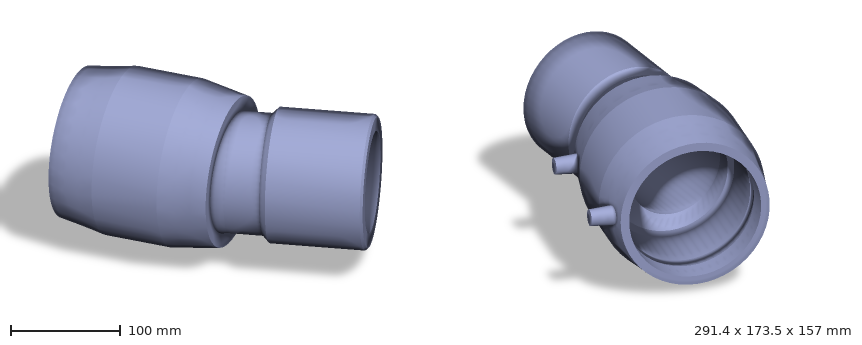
import cadquery as cq
import math

overall_length = 291.4

socket_length = 153.0
barrel_start = 45.0
barrel_radius = 157.0 / 2
socket_end_radius = 70.65
bore_radius = 125.0 / 2
bore_depth = 89.0

groove_start = 23.3
groove_end = 36.0
groove_radius = bore_radius + 3.2

bend_angle = 12.0
neck_radius = 112.5 / 2
spigot_radius = 125.0 / 2
shoulder_start = 32.5
shoulder_end = shoulder_start + spigot_radius - neck_radius
spigot_chamfer = 2.3
bend_sine = math.sin(math.radians(bend_angle))
bend_cosine = math.cos(math.radians(bend_angle))
spigot_end_radius = spigot_radius - spigot_chamfer
spigot_length = (overall_length - socket_length - spigot_end_radius * bend_sine) / bend_cosine
flare_length = 29.0
flare_half_angle = 6.0

passage_radius = 94.0 / 2
passage_start = -49.5
funnel_radius = neck_radius
cut_overrun = 3.0

pin_inset = 18.0
pin_base_y = 71.5
pin_top_y = 173.5 - barrel_radius
pin_base_radius = 9.3
pin_top_radius = 7.72


def revolve_about_x(points):
    """Revolve a closed (axial position, radius) outline about the X axis."""
    return cq.Workplane("XY").polyline(points).close().revolve(360, (0, 0, 0), (1, 0, 0))


def tilt(body):
    """Move a body made along X from the origin onto the spigot axis."""
    return body.rotate((0, 0, 0), (0, 0, 1), bend_angle).translate((socket_length, 0, 0))


def make_socket():
    return revolve_about_x([
        (0, 0),
        (0, socket_end_radius),
        (barrel_start, barrel_radius),
        (socket_length - barrel_start, barrel_radius),
        (socket_length, socket_end_radius),
        (socket_length, 0),
    ])


def make_spigot():
    flare_radius = neck_radius + flare_length * math.tan(math.radians(flare_half_angle))
    return tilt(revolve_about_x([
        (-flare_length, 0),
        (-flare_length, flare_radius),
        (0, neck_radius),
        (shoulder_start, neck_radius),
        (shoulder_end, spigot_radius),
        (spigot_length - spigot_chamfer, spigot_radius),
        (spigot_length, spigot_end_radius),
        (spigot_length, 0),
    ]))


def make_bore():
    return revolve_about_x([
        (0, 0),
        (0, bore_radius),
        (groove_start, bore_radius),
        (groove_end, groove_radius),
        (groove_end, bore_radius),
        (bore_depth, bore_radius),
        (bore_depth, 0),
    ])


def make_passage():
    return tilt(
        cq.Workplane("YZ", origin=(passage_start, 0, 0))
        .circle(passage_radius)
        .extrude(spigot_length - passage_start + cut_overrun)
    )


def make_funnel():
    """Loft from the upright circle at the bore's floor to the tilted mouth of the passage."""
    axis = cq.Vector(bend_cosine, bend_sine, 0)
    mouth_center = cq.Vector(socket_length, 0, 0) + axis * passage_start
    floor_circle = cq.Wire.makeCircle(funnel_radius, cq.Vector(bore_depth, 0, 0), cq.Vector(1, 0, 0))
    mouth_circle = cq.Wire.makeCircle(passage_radius, mouth_center, axis)
    return cq.Workplane(cq.Solid.makeLoft([floor_circle, mouth_circle], True))


def make_pin(x):
    return cq.Workplane(cq.Solid.makeCone(
        pin_base_radius,
        pin_top_radius,
        pin_top_y - pin_base_y,
        cq.Vector(x, pin_base_y, 0),
        cq.Vector(0, 1, 0),
    ))


result = make_socket().union(make_spigot())
for pin_x in (pin_inset, socket_length - pin_inset):
    result = result.union(make_pin(pin_x))
for cavity in (make_bore(), make_funnel(), make_passage()):
    result = result.cut(cavity)